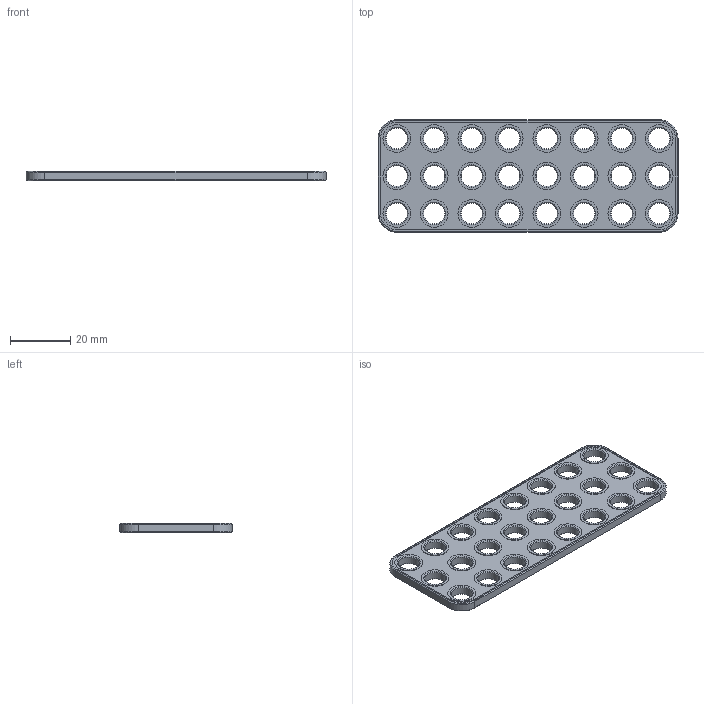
import cadquery as cq

cell = 12.5
columns = 8
rows = 3

length = columns * cell
width = rows * cell
thickness = cell / 4
corner_radius = cell / 2
chamfer = 0.3

hole_diameter = 7.0
hole_rim_diameter = 9.2
edge_rim_width = 0.8
recess_depth = 0.2


def rounded_block(inset, height):
    """Block on Z = 0 whose rounded outline lies inset from the plate outline."""
    block = cq.Workplane("XY").rect(length - 2 * inset, width - 2 * inset).extrude(height)
    return block.edges("|Z").fillet(corner_radius - inset)


def cylinders(diameter, height):
    """One upright cylinder on Z = 0 in the middle of every cell."""
    grid = cq.Workplane("XY").rarray(cell, cell, columns, rows)
    return grid.circle(diameter / 2).extrude(height)


def chamfered_plate():
    """Drilled plate with outline and holes chamfered on the top and bottom faces."""
    plate = rounded_block(0, thickness).cut(cylinders(hole_diameter, thickness))
    return plate.faces("<Z or >Z").edges().chamfer(chamfer)


def top_recess():
    """Shallow pocket in the top face that leaves the edge rim and the hole rims standing."""
    pocket = rounded_block(edge_rim_width, recess_depth)
    pocket = pocket.cut(cylinders(hole_rim_diameter, recess_depth))
    return pocket.translate((0, 0, thickness - recess_depth))


result = chamfered_plate().cut(top_recess())